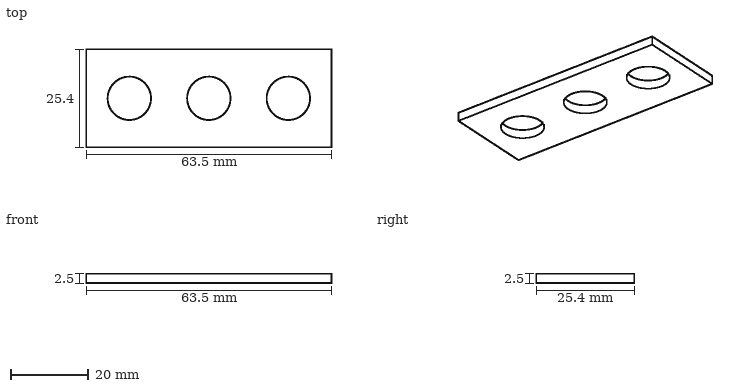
import cadquery as cq

length = 63.5
width = 25.4
thickness = 2.5

hole_diameter = 11.2
hole_count = 3
hole_pitch = 20.6

plate = cq.Workplane("XY").box(length, width, thickness)

result = (
    plate.faces(">Z")
    .workplane()
    .rarray(hole_pitch, width, hole_count, 1)
    .hole(hole_diameter)
)